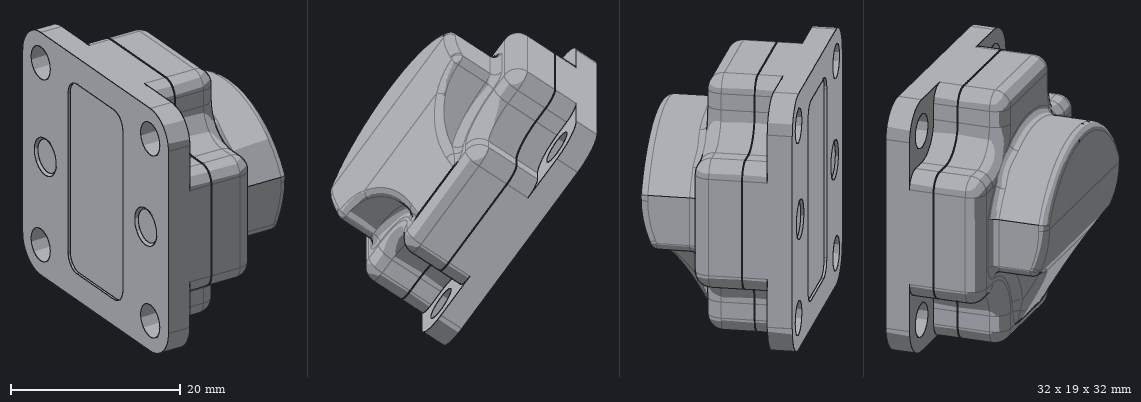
import cadquery as cq
import math

size = 32.0
half = size / 2
flange_depth = 3.0
body_depth = 12.0
dome_depth = 19.0

corner_radius = 4.0
screw_diameter = 4.2
screw_offset = half - corner_radius
notch_size = 2 * corner_radius

body_corner_radius = 2.0
body_rim_radius = 1.95

groove_start = 6.0
groove_width = 0.1
groove_reach = 0.05

dome_root = 6.4
dome_half_width = 12.55
arch_radius = 14.0
arch_top = 10.1
clearance_radius = 7.42
spout_half_width = screw_offset - clearance_radius
spout_reach = half + 3.2
dome_floor = 14.08
dome_fillet = 1.0
dome_base_fillet = 1.0

ramp_start = 1.6
ramp_radius = 14.0
ramp_angle = 30.0

pocket_width = 12.0
pocket_height = 25.0
pocket_radius = 2.0
pocket_depth = 0.32
dimple_spacing = 22.0
dimple_mouth_diameter = 4.8
dimple_floor_diameter = 4.2
dimple_depth = 0.32

tolerance = 0.003


def plane_at(y):
    """Sketch plane facing -Y, so a negative extrusion grows toward +Y."""
    return cq.Workplane("XZ", origin=(0, y, 0))


def rounded_plate(width, height, radius, depth):
    return plane_at(0).rect(width, height).extrude(-depth).edges("|Y").fillet(radius)


def cross_prism(inset, start, depth):
    """Square prism, notched at its corners in arcs about the screw holes, shrunk by the inset."""
    side = half - inset
    shoulder = half - notch_size - inset
    prism = plane_at(start).rect(2 * side, 2 * side).extrude(-depth)
    notches = (
        plane_at(start)
        .rect(size, size, forConstruction=True)
        .vertices()
        .rect(2 * (notch_size + inset), 2 * (notch_size + inset))
        .extrude(-depth)
        .edges("|Y")
        .fillet(corner_radius + inset)
    )
    prism = prism.cut(notches)

    reach = side + shoulder
    arm_corners = [
        edge
        for edge in prism.edges("|Y").vals()
        if abs(abs(edge.Center().x) + abs(edge.Center().z) - reach) < tolerance
    ]
    return prism.newObject(arm_corners).fillet(body_corner_radius - inset)


def make_body():
    body = cross_prism(0, 0, body_depth).faces(">Y").edges().fillet(body_rim_radius)
    groove = cross_prism(0, groove_start, groove_width).cut(
        cross_prism(groove_reach, groove_start, groove_width)
    )
    return body.cut(groove)


def dome_blank():
    """Prism with the outline of the dome, square at its front."""
    arch_base = arch_top - arch_radius + math.sqrt(arch_radius**2 - dome_half_width**2)
    overhang = dome_half_width - screw_offset
    shoulder = math.sqrt(clearance_radius**2 - overhang**2) - screw_offset
    bend_x = screw_offset - clearance_radius * math.sqrt(0.5)
    blank = (
        plane_at(dome_root)
        .moveTo(-dome_half_width, arch_base)
        .threePointArc((0, arch_top), (dome_half_width, arch_base))
        .lineTo(dome_half_width, shoulder)
        .threePointArc((bend_x, -bend_x), (spout_half_width, -screw_offset))
        .lineTo(spout_half_width, -spout_reach)
        .lineTo(-spout_half_width, -spout_reach)
        .lineTo(-spout_half_width, -screw_offset)
        .threePointArc((-bend_x, -bend_x), (-dome_half_width, shoulder))
        .close()
        .extrude(dome_root - dome_depth)
    )
    shoulder_edges = [
        edge for edge in blank.edges("|Y").vals() if abs(edge.Center().z - shoulder) < tolerance
    ]
    return blank.newObject(shoulder_edges).fillet(dome_fillet)


def ramp_point(angle):
    """Point (Y, Z) on the arc that leads from the dome front into the straight ramp."""
    turn = math.radians(angle)
    y = dome_depth - ramp_radius * (1 - math.cos(turn))
    z = ramp_start - ramp_radius * math.sin(turn)
    return y, z


def ramp_cutter():
    bend_y, bend_z = ramp_point(ramp_angle)
    low_z = -size
    low_y = bend_y - (bend_z - low_z) * math.tan(math.radians(ramp_angle))
    return (
        cq.Workplane("YZ", origin=(-half, 0, 0))
        .moveTo(dome_depth, ramp_start)
        .threePointArc(ramp_point(ramp_angle / 2), (bend_y, bend_z))
        .lineTo(low_y, low_z)
        .lineTo(size, low_z)
        .lineTo(size, ramp_start)
        .close()
        .extrude(size)
    )


def make_dome():
    dome = dome_blank().cut(ramp_cutter())

    front_faces = [face for face in dome.faces().vals() if face.normalAt().y > tolerance]
    front_edges = [edge for face in front_faces for edge in face.Edges()]
    rim = [
        edge
        for edge in front_edges
        if sum(edge.isSame(other) for other in front_edges) == 1
        and edge.Center().z > tolerance - spout_reach
    ]
    dome = dome.newObject(rim).fillet(dome_fillet)
    kept_zone = cq.Workplane().box(size, 2 * size, 2 * dome_floor)
    return dome.intersect(kept_zone)


def add_dome(body, dome):
    """Join the dome to the body and blend its steep walls into the body face."""
    joined = body.union(dome)
    dome_solid = dome.val()
    foot_region = cq.selectors.BoxSelector(
        (-half, body_depth - tolerance, -screw_offset),
        (half, body_depth + tolerance, half),
    )
    foot = [
        edge
        for edge in joined.edges(foot_region).vals()
        if edge.BoundingBox().ylen < tolerance
        and cq.Vertex.makeVertex(*edge.positionAt(0.5).toTuple()).distance(dome_solid) < tolerance
    ]
    return joined.newObject(foot).fillet(dome_base_fillet)


def screw_holes():
    return (
        plane_at(0)
        .rect(2 * screw_offset, 2 * screw_offset, forConstruction=True)
        .vertices()
        .circle(screw_diameter / 2)
        .extrude(-flange_depth)
    )


def dimple(x):
    """Shallow conical recess that narrows toward its floor."""
    return (
        plane_at(0)
        .center(x, 0)
        .circle(dimple_mouth_diameter / 2)
        .workplane(offset=-dimple_depth)
        .circle(dimple_floor_diameter / 2)
        .loft()
    )


flange = rounded_plate(size, size, corner_radius, flange_depth)
result = add_dome(make_body().union(flange), make_dome())
result = result.cut(screw_holes())
result = result.cut(rounded_plate(pocket_width, pocket_height, pocket_radius, pocket_depth))
for x in (-dimple_spacing / 2, dimple_spacing / 2):
    result = result.cut(dimple(x))